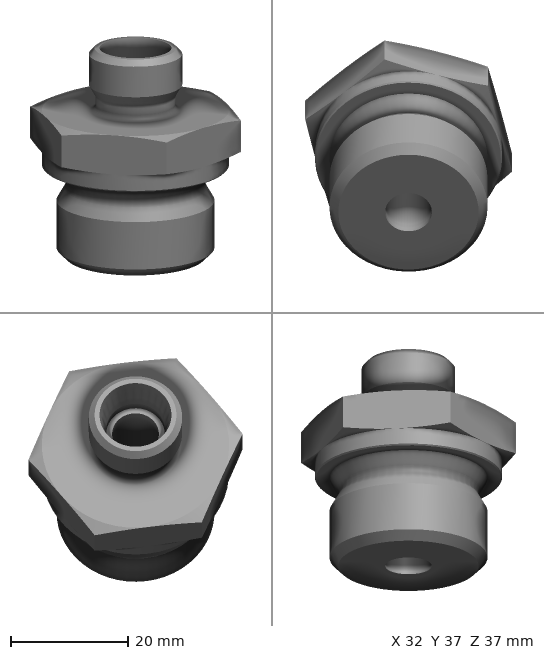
import cadquery as cq
import math

total_height = 37.0
large_thread_top = 9.95
collar_bottom = 16.02
hex_bottom = 19.05
hex_top = 26.0
small_thread_bottom = 30.55

large_thread_diameter = 27.0
collar_diameter = 32.0
neck_diameter = 13.7
small_thread_diameter = 16.0

large_thread_chamfer = 1.5
small_thread_chamfer = 1.0
collar_chamfer = 0.22
undercut_angle = math.radians(30)
groove_radius = 1.5
neck_radius = 1.0
hex_chamfer_angle = math.radians(15)

through_diameter = 8.0
socket_diameter = 10.0
mouth_diameter = 12.3
socket_depth = 7.0
mouth_half_angle = math.radians(12)


def revolve_profile(profile):
    """Revolve a closed radius-height profile around Z."""
    return profile.close().revolve(360, (0, 0, 0), (0, 1, 0))


def make_lower_body():
    """Large threaded end, V-shaped undercut and round collar."""
    thread_r = large_thread_diameter / 2
    collar_r = collar_diameter / 2
    groove_middle = (large_thread_top + collar_bottom) / 2
    arc_half_height = groove_radius * math.sin(undercut_angle)
    arc_low = groove_middle - arc_half_height
    arc_high = groove_middle + arc_half_height
    arc_end_r = thread_r - (arc_low - large_thread_top) * math.tan(undercut_angle)
    groove_r = arc_end_r - groove_radius * (1 - math.cos(undercut_angle))
    return revolve_profile(
        cq.Workplane("XZ")
        .moveTo(0, 0)
        .lineTo(thread_r - large_thread_chamfer, 0)
        .lineTo(thread_r, large_thread_chamfer)
        .lineTo(thread_r, large_thread_top)
        .lineTo(arc_end_r, arc_low)
        .threePointArc((groove_r, groove_middle), (arc_end_r, arc_high))
        .lineTo(thread_r, collar_bottom)
        .lineTo(collar_r - collar_chamfer, collar_bottom)
        .lineTo(collar_r, collar_bottom + collar_chamfer)
        .lineTo(collar_r, hex_bottom)
        .lineTo(0, hex_bottom)
    )


def make_hexagon():
    """Hexagon with flats facing X and conically chamfered corners."""
    flat_r = collar_diameter / 2
    corner_r = flat_r / math.cos(math.pi / 6)
    prism = (
        cq.Workplane("XY", origin=(0, 0, hex_bottom))
        .polygon(6, 2 * corner_r)
        .extrude(hex_top - hex_bottom)
        .rotate((0, 0, 0), (0, 0, 1), 30)
    )
    rim_r = 1.1 * corner_r
    rim_drop = (rim_r - flat_r) * math.tan(hex_chamfer_angle)
    envelope = revolve_profile(
        cq.Workplane("XZ")
        .moveTo(0, hex_bottom)
        .lineTo(flat_r, hex_bottom)
        .lineTo(rim_r, hex_bottom + rim_drop)
        .lineTo(rim_r, hex_top - rim_drop)
        .lineTo(flat_r, hex_top)
        .lineTo(0, hex_top)
    )
    return prism.intersect(envelope)


def make_upper_body():
    """Small threaded end on a neck blended into the hexagon."""
    thread_r = small_thread_diameter / 2
    neck_r = neck_diameter / 2
    corner_z = small_thread_bottom - (thread_r - neck_r) / math.tan(undercut_angle)
    tangent = neck_radius * math.tan(undercut_angle / 2)
    blend_start = corner_z - tangent
    half_turn = undercut_angle / 2
    blend_middle = (
        neck_r + neck_radius * (1 - math.cos(half_turn)),
        blend_start + neck_radius * math.sin(half_turn),
    )
    blend_end = (
        neck_r + tangent * math.sin(undercut_angle),
        corner_z + tangent * math.cos(undercut_angle),
    )
    fillet_inset = neck_radius * (1 - math.sqrt(0.5))
    return revolve_profile(
        cq.Workplane("XZ")
        .moveTo(0, hex_top)
        .lineTo(neck_r + neck_radius, hex_top)
        .threePointArc(
            (neck_r + fillet_inset, hex_top + fillet_inset),
            (neck_r, hex_top + neck_radius),
        )
        .lineTo(neck_r, blend_start)
        .threePointArc(blend_middle, blend_end)
        .lineTo(thread_r, small_thread_bottom)
        .lineTo(thread_r, total_height - small_thread_chamfer)
        .lineTo(thread_r - small_thread_chamfer, total_height)
        .lineTo(0, total_height)
    )


def make_bore():
    """Through hole, flat-bottomed socket and tapered mouth."""
    through_r = through_diameter / 2
    socket_r = socket_diameter / 2
    mouth_r = mouth_diameter / 2
    mouth_depth = (mouth_r - socket_r) / math.tan(mouth_half_angle)
    socket_floor = total_height - socket_depth
    return revolve_profile(
        cq.Workplane("XZ")
        .moveTo(0, 0)
        .lineTo(through_r, 0)
        .lineTo(through_r, socket_floor)
        .lineTo(socket_r, socket_floor)
        .lineTo(socket_r, total_height - mouth_depth)
        .lineTo(mouth_r, total_height)
        .lineTo(0, total_height)
    )


outer_body = make_lower_body().union(make_hexagon()).union(make_upper_body())
result = outer_body.cut(make_bore())